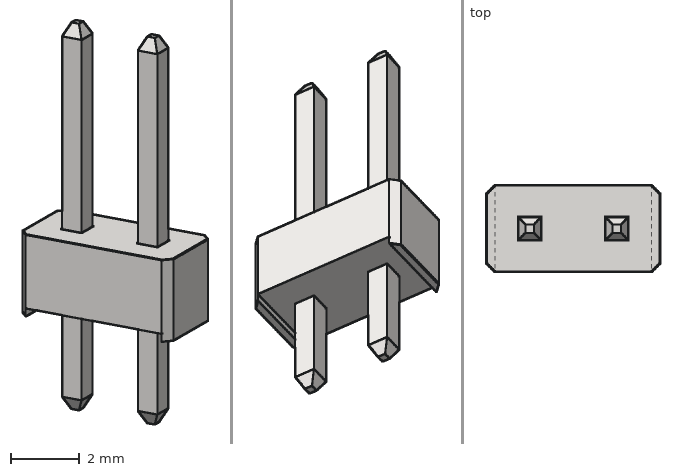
import cadquery as cq


pin_count = 2
pitch = 2.54
housing_length = 5.07
corner_chamfer = pitch / 10
edge_break = 0.018

pin_length = 11.94
pin_width = 0.66
pin_below = 3.05
tip_length = 0.4
tip_width = 0.25

housing_depth = pitch
housing_height = pitch
foot_height = corner_chamfer
foot_width = corner_chamfer
channel_length = housing_length - 2 * foot_width
pin_positions = [(i - (pin_count - 1) / 2) * pitch for i in range(pin_count)]


def make_housing():
    """Block with chamfered corners, beveled rims and a channel under it."""
    block = (
        cq.Workplane("XY")
        .box(housing_length, housing_depth, housing_height, centered=(True, True, False))
        .edges("|Z")
        .chamfer(corner_chamfer)
    )
    block = block.faces(">Z or <Z").edges().chamfer(edge_break)
    channel = cq.Workplane("XY").box(
        channel_length, housing_depth, foot_height, centered=(True, True, False)
    )
    return block.cut(channel)


def make_hole_bevel(x):
    """Flared mouth around a pin where it leaves the top of the housing."""
    return (
        cq.Workplane("XY", origin=(x, 0, housing_height))
        .rect(pin_width + 2 * edge_break, pin_width + 2 * edge_break)
        .workplane(offset=-edge_break)
        .rect(pin_width, pin_width)
        .loft(ruled=True)
    )


def make_tip(x, z, length):
    """Tapered pin end starting at height z; a negative length points down."""
    return (
        cq.Workplane("XY", origin=(x, 0, z))
        .rect(pin_width, pin_width)
        .workplane(offset=length)
        .rect(tip_width, tip_width)
        .loft(ruled=True)
    )


def make_pin(x):
    """Square pin with a tapered tip at both ends."""
    shaft_bottom = tip_length - pin_below
    shaft_length = pin_length - 2 * tip_length
    shaft = cq.Workplane("XY", origin=(x, 0, shaft_bottom)).box(
        pin_width, pin_width, shaft_length, centered=(True, True, False)
    )
    upper_tip = make_tip(x, shaft_bottom + shaft_length, tip_length)
    lower_tip = make_tip(x, shaft_bottom, -tip_length)
    return shaft.union(upper_tip).union(lower_tip)


result = make_housing()
for pin_x in pin_positions:
    result = result.cut(make_hole_bevel(pin_x)).union(make_pin(pin_x))